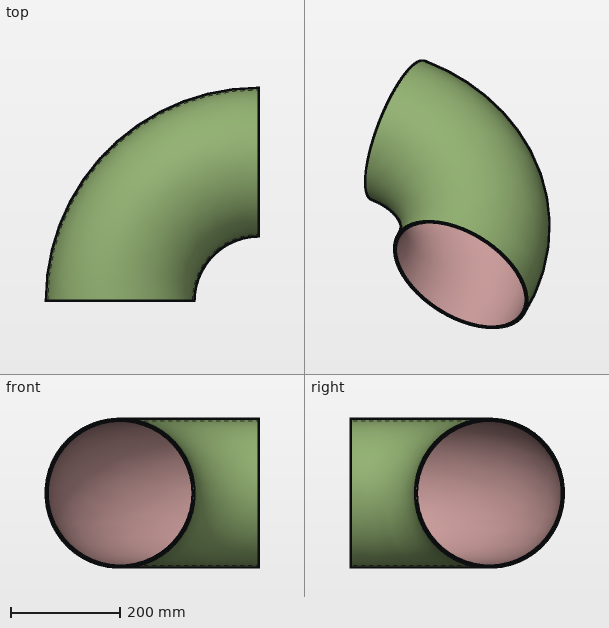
import cadquery as cq

OUTER_DIAMETER = 273.0
WALL_THICKNESS = 4.0
BEND_RADIUS = 254.0
BEND_ANGLE = 90.0

outer_radius = OUTER_DIAMETER / 2
inner_radius = outer_radius - WALL_THICKNESS


def pipe_elbow():
    """Sweep the pipe ring from the -Y facing end round to the +X facing end."""
    ring = cq.Workplane("XZ").circle(outer_radius).circle(inner_radius)
    axis_start = (BEND_RADIUS, 0)
    axis_end = (BEND_RADIUS, -1)
    return ring.revolve(BEND_ANGLE, axis_start, axis_end)


result = pipe_elbow()